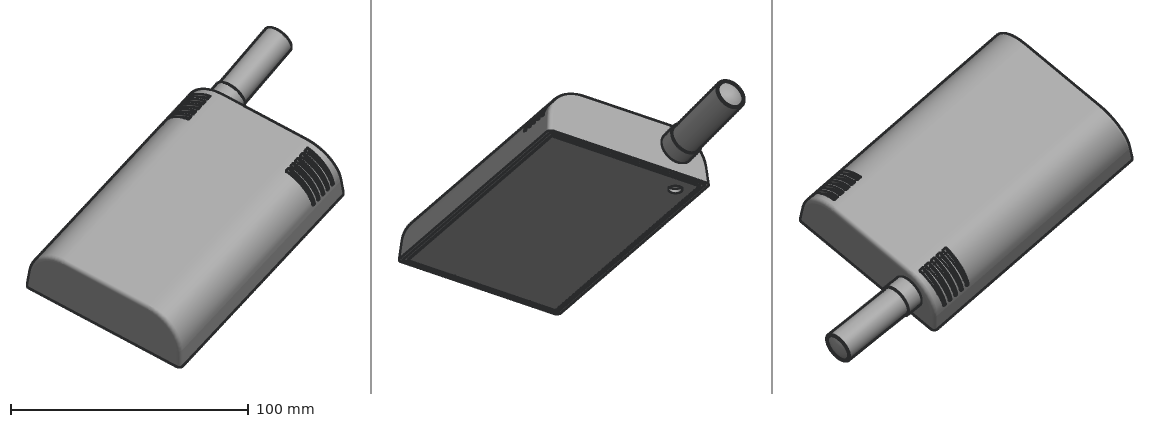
import cadquery as cq
import math

OVERALL_LENGTH = 163.8

WIDTH = 80.0
LENGTH = 120.4
OVERALL_HEIGHT = 25.5
PAD_HEIGHT = 0.5
HOUSING_HEIGHT = OVERALL_HEIGHT - PAD_HEIGHT
DRAFT = 5.0
SHOULDER_RADIUS = 17.9
END_FILLET = 2.0
WALL = 1.6

SLOT_COUNT = 5
SLOT_PITCH = 3.5
FIRST_SLOT_FROM_END = 7.5
SLOT_WIDTH = 2.1
SLOT_DRAFT = 1.8
SLOT_APEX_X = 27.5
SLOT_APEX_Z = 21.0
UPPER_END_ANGLE = 31.0
LOWER_END_ANGLE = 39.0
SLOT_REACH = 32.8

PANEL_THICKNESS = 1.6
PAD_INSET = 3.3
BASE_HOLE_DIAMETER = 5.9
BASE_HOLE_X = -29.3
BASE_HOLE_FROM_END = 10.8

ANTENNA_X = -24.0
ANTENNA_ROOT_Z = 13.6
SLEEVE_DIAMETER = 15.0
SLEEVE_LENGTH = 7.7
ROD_DIAMETER = 14.0
DOME_BASE_DIAMETER = 12.0
DOME_RADIUS = 10.0

REAR_Y = LENGTH / 2
DRAFT_SLOPE = math.tan(math.radians(DRAFT))


def drafted_form(inset):
    """Housing shape with every wall moved inwards by the inset, still standing on the rim plane."""
    side_inset = inset / math.cos(math.radians(DRAFT))
    block = (
        cq.Workplane("XY")
        .workplane(offset=PAD_HEIGHT)
        .rect(WIDTH - 2 * side_inset, LENGTH - 2 * side_inset)
        .extrude(HOUSING_HEIGHT - inset, taper=DRAFT)
    )
    long_top_edges = block.faces(">Z").edges("|Y")
    return long_top_edges.fillet(SHOULDER_RADIUS - inset)


def slot_cutter(side, y):
    """Slot through the shoulder on one side (-1 or 1), flaring outwards and narrowing downwards."""
    upper = math.radians(UPPER_END_ANGLE)
    lower = math.radians(LOWER_END_ANGLE)
    apex = (side * SLOT_APEX_X, SLOT_APEX_Z)
    upper_end = (
        side * (SLOT_APEX_X - SLOT_REACH * math.sin(upper)),
        SLOT_APEX_Z + SLOT_REACH * math.cos(upper),
    )
    lower_end = (
        side * (SLOT_APEX_X + SLOT_REACH * math.cos(lower)),
        SLOT_APEX_Z - SLOT_REACH * math.sin(lower),
    )
    flare = (
        cq.Workplane("XZ", origin=(0, y, 0))
        .polyline([apex, upper_end, lower_end])
        .close()
        .extrude(SLOT_WIDTH, both=True)
    )
    half_top = SLOT_WIDTH / 2
    half_bottom = half_top - OVERALL_HEIGHT * math.tan(math.radians(SLOT_DRAFT))
    drafted_band = (
        cq.Workplane("YZ")
        .polyline(
            [
                (y - half_bottom, 0),
                (y + half_bottom, 0),
                (y + half_top, OVERALL_HEIGHT),
                (y - half_top, OVERALL_HEIGHT),
            ]
        )
        .close()
        .extrude(WIDTH, both=True)
    )
    return flare.intersect(drafted_band)


def make_housing():
    """Drafted cover with rounded shoulders, an open cavity and ventilation slots."""
    end_faces = drafted_form(0).faces("<Y or >Y")
    housing = end_faces.edges("not <Z").fillet(END_FILLET)
    housing = housing.cut(drafted_form(WALL))
    for index in range(SLOT_COUNT):
        y = REAR_Y - FIRST_SLOT_FROM_END - index * SLOT_PITCH
        for side in (-1, 1):
            housing = housing.cut(slot_cutter(side, y))
    return housing


def make_base():
    """Panel fitting the open underside of the housing, with a pad below and one round hole."""
    panel_zone = cq.Workplane("XY").box(
        WIDTH, LENGTH, PAD_HEIGHT + PANEL_THICKNESS, centered=(True, True, False)
    )
    panel = drafted_form(WALL).intersect(panel_zone)
    pad = (
        cq.Workplane("XY")
        .rect(WIDTH - 2 * PAD_INSET, LENGTH - 2 * PAD_INSET)
        .extrude(PAD_HEIGHT)
    )
    hole = (
        cq.Workplane("XY")
        .center(BASE_HOLE_X, REAR_Y - BASE_HOLE_FROM_END)
        .circle(BASE_HOLE_DIAMETER / 2)
        .extrude(PAD_HEIGHT + PANEL_THICKNESS)
    )
    return panel.union(pad).cut(hole)


def make_antenna():
    """Sleeve, rod and domed tip, turned about an axis square to the rear wall."""
    root_y = REAR_Y - (ANTENNA_ROOT_Z - PAD_HEIGHT) * DRAFT_SLOPE
    dome_center_y = OVERALL_LENGTH - LENGTH / 2 - DOME_RADIUS

    dome_center = (dome_center_y - root_y) / math.cos(math.radians(DRAFT))
    dome_base_radius = DOME_BASE_DIAMETER / 2
    rod_end = dome_center + math.sqrt(DOME_RADIUS**2 - dome_base_radius**2)
    dome_tip = dome_center + DOME_RADIUS
    dome_half_angle = math.asin(dome_base_radius / DOME_RADIUS) / 2
    dome_midpoint = (
        DOME_RADIUS * math.sin(dome_half_angle),
        dome_center + DOME_RADIUS * math.cos(dome_half_angle),
    )
    return (
        cq.Workplane("XY")
        .moveTo(0, 0)
        .lineTo(SLEEVE_DIAMETER / 2, 0)
        .lineTo(SLEEVE_DIAMETER / 2, SLEEVE_LENGTH)
        .lineTo(ROD_DIAMETER / 2, SLEEVE_LENGTH)
        .lineTo(ROD_DIAMETER / 2, rod_end)
        .lineTo(dome_base_radius, rod_end)
        .threePointArc(dome_midpoint, (0, dome_tip))
        .close()
        .revolve(360, (0, 0, 0), (0, 1, 0))
        .rotate((0, 0, 0), (1, 0, 0), DRAFT)
        .translate((ANTENNA_X, root_y, ANTENNA_ROOT_Z))
    )


housing = make_housing()
base = make_base()
antenna = make_antenna()

result = cq.Compound.makeCompound([housing.val(), base.val(), antenna.val()])